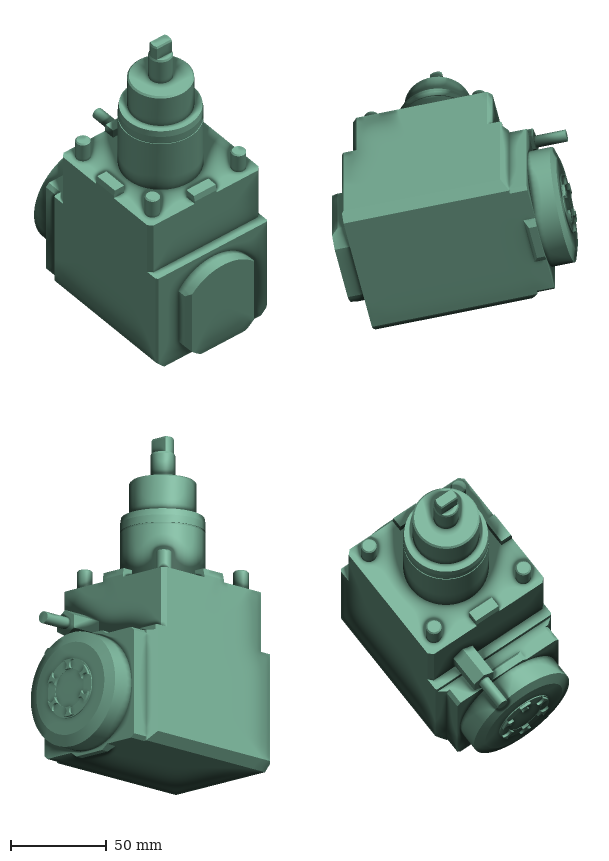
import cadquery as cq
import math


EPS = 0.9

WIDTH = 75.0
HALF = WIDTH / 2
BODY_BOTTOM = 2.7
SHOULDER_Z = 65.5
DECK_Z = 97.8
UPPER_CORNER = 2.4
LOWER_RIGHT = 43.2
LOWER_RIGHT_CORNER = 1.0
LOWER_BOTTOM_CHAMFER = 4.9
LOWER_LEFT = -42.8

PLATE_FRONT = -55.2
PLATE_BACK = -45.7
PLATE_HALF = 32.7
PLATE_TOP = 62.8
PLATE_CHAMFER = 2.0
NECK_TAPER = 3.6

OUTPUT_Z = 32.5
DISK_RADIUS = 30.9
DISK_FACE = -69.3
DISK_BEVEL_LENGTH = 2.0
DISK_FACE_RADIUS = 24.9
HUB_FACE = -69.9
HUB_RADIUS = 16.0
HUB_RECESS = 0.2
TOOTH_TIP = -71.3
TOOTH_COUNT = 6
TOOTH_OUTER = 15.5
TOOTH_INNER = 10.3
SLOT_MID_RADIUS = 12.9
SLOT_HALF_WIDTH = 2.7
TOOTH_HALF_WEB = 0.9

BAR_TIP_HALF = 9.5
BAR_BEVEL = 3.6
BAR_TIP_LENGTH = 4.2
BAR_BACK_BEVEL = 2.2
BAR_BEVEL_HEIGHT = 2.7

BOSS_END = 52.0
BOSS_RADIUS = 28.9
BOSS_HALF_WIDTH = 23.0
BOSS_BOTTOM = 7.8
BOSS_BEVEL_LENGTH = 3.3
BOSS_BEVEL_DEPTH = 2.2

COLLAR_RADIUS = 22.5
COLLAR_TOP = 137.8
COLLAR_BEVEL = 0.5
COLLAR_BEVEL_HEIGHT = 3.5
GROOVE_Z = 129.8
GROOVE_WIDTH = 0.9
GROOVE_DEPTH = 0.4
SLEEVE_RADIUS = 17.6
SLEEVE_TOP = 157.5
SHAFT_RADIUS = 6.5
SHAFT_TOP = 173.2
TANG_TOP = 181.5
TANG_THICKNESS = 6.4
SLEEVE_CHAMFER = 0.9
TIP_BEVEL = 0.5
TIP_BEVEL_HEIGHT = 1.0
TANG_RADIUS = SHAFT_RADIUS - TIP_BEVEL

PIN_SPACING = 57.9
PIN_RADIUS = 4.08
PIN_TOP = 109.5
PIN_CHAMFER = 0.7
KEY_WIDTH = 14.7
KEY_DEPTH = 6.9
KEY_HEIGHT = 4.9
KEY_BEVEL = 0.7
KEY_BEVEL_HEIGHT = 3.5

FITTING_Y = 16.3
FITTING_Z = 73.5
HEX_ACROSS_FLATS = 12.3
HEX_END = -56.3
STEM_RADIUS = 3.18
STEM_END = -73.0


def box(x, y, z):
    """Box given by its (low, high) limits on each axis."""
    corner = (x[0], y[0], z[0])
    return cq.Workplane("XY").box(
        x[1] - x[0], y[1] - y[0], z[1] - z[0], centered=False
    ).translate(corner)


def x_plane(x, y=0, z=0):
    """Plane facing +X whose local axes are Y and Z."""
    return cq.Workplane("YZ", origin=(x, y, z))


def x_cylinder(start, end, radius, y=0, z=OUTPUT_Z):
    return x_plane(start, y, z).circle(radius).extrude(end - start)


def z_cylinder(bottom, top, radius):
    return cq.Workplane("XY", origin=(0, 0, bottom)).circle(radius).extrude(top - bottom)


def make_upper_housing():
    block = box((-HALF, HALF), (-HALF, HALF), (SHOULDER_Z - EPS, DECK_Z))
    return block.edges("|Z").chamfer(UPPER_CORNER)


def make_lower_housing():
    corner = LOWER_RIGHT_CORNER
    outline = [
        (PLATE_BACK, -PLATE_HALF),
        (PLATE_BACK + NECK_TAPER, -HALF),
        (LOWER_RIGHT - corner, -HALF),
        (LOWER_RIGHT, -HALF + corner),
        (LOWER_RIGHT, HALF - corner),
        (LOWER_RIGHT - corner, HALF),
        (PLATE_BACK + NECK_TAPER, HALF),
        (PLATE_BACK, PLATE_HALF),
    ]
    block = cq.Workplane("XY", origin=(0, 0, BODY_BOTTOM)).polyline(outline).close()
    block = block.extrude(SHOULDER_Z - BODY_BOTTOM)
    chamfered = box((PLATE_BACK, LOWER_RIGHT), (-HALF, HALF), (BODY_BOTTOM, SHOULDER_Z))
    chamfered = chamfered.edges("|X and <Z").chamfer(LOWER_BOTTOM_CHAMFER)
    step = box((PLATE_BACK, LOWER_LEFT), (-HALF, HALF), (PLATE_TOP, SHOULDER_Z))
    return block.intersect(chamfered).cut(step)


def make_plate():
    plate = box((PLATE_FRONT, PLATE_BACK + EPS), (-PLATE_HALF, PLATE_HALF), (BODY_BOTTOM, PLATE_TOP))
    return plate.edges("|X").chamfer(PLATE_CHAMFER)


def make_bar():
    """Bar with bevelled flanks and back, as the overlap of its two side outlines."""
    tip = 2 * OUTPUT_Z
    base = BAR_BEVEL_HEIGHT
    wide = BAR_TIP_HALF + BAR_BEVEL
    face = [
        (-BAR_TIP_HALF, 0), (BAR_TIP_HALF, 0), (wide, base), (wide, tip - base),
        (BAR_TIP_HALF, tip), (-BAR_TIP_HALF, tip), (-wide, tip - base), (-wide, base),
    ]
    tip_back = PLATE_FRONT + BAR_TIP_LENGTH
    base_back = tip_back + BAR_BACK_BEVEL
    side = [
        (PLATE_FRONT, 0), (tip_back, 0), (base_back, base),
        (base_back, tip - base), (tip_back, tip), (PLATE_FRONT, tip),
    ]
    face_solid = x_plane(PLATE_FRONT).polyline(face).close().extrude(base_back - PLATE_FRONT)
    side_solid = cq.Workplane("XZ").polyline(side).close().extrude(wide, both=True)
    return face_solid.intersect(side_solid)


def make_nose():
    """Bevelled disk with a low hub, recessed slightly inside its ring of drive teeth."""
    profile = [
        (PLATE_FRONT + EPS, 0),
        (PLATE_FRONT + EPS, DISK_RADIUS),
        (DISK_FACE + DISK_BEVEL_LENGTH, DISK_RADIUS),
        (DISK_FACE, DISK_FACE_RADIUS),
        (DISK_FACE, HUB_RADIUS),
        (HUB_FACE, HUB_RADIUS),
        (HUB_FACE, TOOTH_INNER),
        (HUB_FACE + HUB_RECESS, TOOTH_INNER),
        (HUB_FACE + HUB_RECESS, 0),
    ]
    disk = cq.Workplane("XY").polyline(profile).close().revolve(360, (0, 0, 0), (1, 0, 0))
    return disk.translate((0, 0, OUTPUT_Z)).union(make_teeth())


def make_teeth():
    """Ring cut into teeth by arc slots with round ends."""
    length = HUB_FACE + EPS - TOOTH_TIP
    ring = x_plane(TOOTH_TIP, z=OUTPUT_Z).circle(TOOTH_OUTER).circle(TOOTH_INNER).extrude(length)
    pitch = 360 / TOOTH_COUNT
    end_offset = TOOTH_HALF_WEB + SLOT_HALF_WIDTH
    slot_half_angle = math.radians(pitch / 2) - math.asin(end_offset / SLOT_MID_RADIUS)
    inner = SLOT_MID_RADIUS - SLOT_HALF_WIDTH
    outer = SLOT_MID_RADIUS + SLOT_HALF_WIDTH

    def at(radius, angle):
        return (radius * math.cos(angle), radius * math.sin(angle))

    end_mid = at(SLOT_MID_RADIUS, slot_half_angle)
    cap = (
        end_mid[0] - SLOT_HALF_WIDTH * math.sin(slot_half_angle),
        end_mid[1] + SLOT_HALF_WIDTH * math.cos(slot_half_angle),
    )
    slot = (
        x_plane(TOOTH_TIP, z=OUTPUT_Z)
        .moveTo(*at(outer, -slot_half_angle))
        .threePointArc((outer, 0), at(outer, slot_half_angle))
        .threePointArc(cap, at(inner, slot_half_angle))
        .threePointArc((inner, 0), at(inner, -slot_half_angle))
        .threePointArc((cap[0], -cap[1]), at(outer, -slot_half_angle))
        .close()
        .extrude(length)
    )
    for i in range(TOOTH_COUNT):
        ring = ring.cut(slot.rotate((0, 0, OUTPUT_Z), (1, 0, OUTPUT_Z), i * pitch))
    return ring


def make_rear_boss():
    """Round boss with flat sides and bottom; the side flats are bevelled at the end."""
    start = LOWER_RIGHT - EPS
    bevel_start = BOSS_END - BOSS_BEVEL_LENGTH
    end_half = BOSS_HALF_WIDTH - BOSS_BEVEL_DEPTH
    outline = [
        (start, -BOSS_HALF_WIDTH), (bevel_start, -BOSS_HALF_WIDTH), (BOSS_END, -end_half),
        (BOSS_END, end_half), (bevel_start, BOSS_HALF_WIDTH), (start, BOSS_HALF_WIDTH),
    ]
    limits = cq.Workplane("XY", origin=(0, 0, BOSS_BOTTOM)).polyline(outline).close()
    limits = limits.extrude(2 * BOSS_RADIUS)
    return x_cylinder(start, BOSS_END, BOSS_RADIUS).intersect(limits)


def make_spindle():
    groove_radius = COLLAR_RADIUS - GROOVE_DEPTH
    groove_bottom = GROOVE_Z - GROOVE_WIDTH / 2
    groove_top = GROOVE_Z + GROOVE_WIDTH / 2
    profile = [
        (0, DECK_Z - EPS),
        (COLLAR_RADIUS, DECK_Z - EPS),
        (COLLAR_RADIUS, groove_bottom),
        (groove_radius, groove_bottom),
        (groove_radius, groove_top),
        (COLLAR_RADIUS, groove_top),
        (COLLAR_RADIUS, COLLAR_TOP - COLLAR_BEVEL_HEIGHT),
        (COLLAR_RADIUS - COLLAR_BEVEL, COLLAR_TOP),
        (SLEEVE_RADIUS, COLLAR_TOP),
        (SLEEVE_RADIUS, SLEEVE_TOP - SLEEVE_CHAMFER),
        (SLEEVE_RADIUS - SLEEVE_CHAMFER, SLEEVE_TOP),
        (SHAFT_RADIUS, SLEEVE_TOP),
        (SHAFT_RADIUS, SHAFT_TOP - TIP_BEVEL_HEIGHT),
        (SHAFT_RADIUS - TIP_BEVEL, SHAFT_TOP),
        (0, SHAFT_TOP),
    ]
    spindle = cq.Workplane("XZ").polyline(profile).close().revolve(360, (0, 0, 0), (0, 1, 0))
    return spindle.union(make_tang())


def make_tang():
    """Drive tang with two flats and round ends, bevelled all around its top."""
    half = TANG_THICKNESS / 2
    bottom = SHAFT_TOP - EPS
    bevel_start = TANG_TOP - TIP_BEVEL_HEIGHT
    flats = [
        (-half, bottom), (half, bottom), (half, bevel_start),
        (half - TIP_BEVEL, TANG_TOP), (TIP_BEVEL - half, TANG_TOP), (-half, bevel_start),
    ]
    slab = cq.Workplane("XZ").polyline(flats).close().extrude(TANG_RADIUS, both=True)
    rod = z_cylinder(bottom, TANG_TOP, TANG_RADIUS)
    rod = rod.faces(">Z").chamfer(TIP_BEVEL_HEIGHT, TIP_BEVEL)
    return slab.intersect(rod)


def make_pins():
    pin = z_cylinder(DECK_Z - EPS, PIN_TOP, PIN_RADIUS).faces(">Z").chamfer(PIN_CHAMFER)
    pins = cq.Workplane("XY")
    for x in (-PIN_SPACING / 2, PIN_SPACING / 2):
        for y in (-PIN_SPACING / 2, PIN_SPACING / 2):
            pins = pins.add(pin.translate((x, y, 0)))
    return pins.combine()


def make_keys():
    """Keys flush with the left, right and front walls, with a steep bevel on the outer face."""
    top = DECK_Z + KEY_HEIGHT
    profile = [
        (HALF - KEY_DEPTH, DECK_Z - EPS),
        (HALF, DECK_Z - EPS),
        (HALF, top - KEY_BEVEL_HEIGHT),
        (HALF - KEY_BEVEL, top),
        (HALF - KEY_DEPTH, top),
    ]
    key = cq.Workplane("XZ").polyline(profile).close().extrude(KEY_WIDTH / 2, both=True)
    keys = cq.Workplane("XY")
    for angle in (0, 180, 270):
        keys = keys.add(key.rotate((0, 0, 0), (0, 0, 1), angle))
    return keys.combine()


def make_fitting():
    across_corners = HEX_ACROSS_FLATS / math.cos(math.radians(30))
    wall = -HALF + EPS
    hexagon = x_plane(HEX_END).polygon(6, across_corners).extrude(wall - HEX_END)
    hexagon = hexagon.rotate((0, 0, 0), (1, 0, 0), 90).translate((0, FITTING_Y, FITTING_Z))
    return hexagon.union(x_cylinder(STEM_END, wall, STEM_RADIUS, FITTING_Y, FITTING_Z))


result = make_lower_housing()
for feature in (
    make_upper_housing(),
    make_plate(),
    make_bar(),
    make_nose(),
    make_rear_boss(),
    make_spindle(),
    make_pins(),
    make_keys(),
    make_fitting(),
):
    result = result.union(feature)